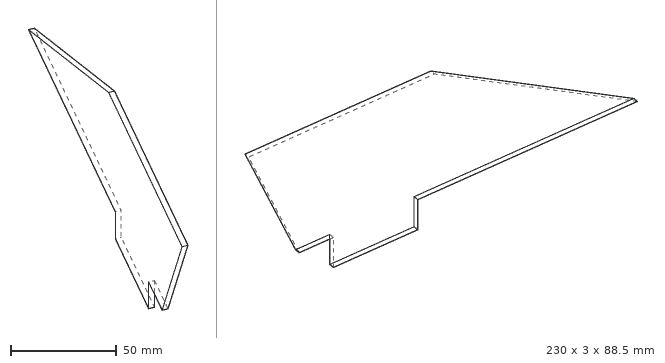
import cadquery as cq

root_length = 200.0
tip_length = 110.0
overall_length = 230.0
overall_height = 88.5
thickness = 3.0

tab_start = 130.0
tab_length = 50.0
tab_depth = 18.0

blade_height = overall_height - tab_depth
tab_end = tab_start + tab_length
tip_start = overall_length - tip_length

outline = [
    (0, 0),
    (tab_start, 0),
    (tab_start, -tab_depth),
    (tab_end, -tab_depth),
    (tab_end, 0),
    (root_length, 0),
    (overall_length, blade_height),
    (tip_start, blade_height),
]

result = cq.Workplane("XZ").polyline(outline).close().extrude(thickness / 2, both=True)